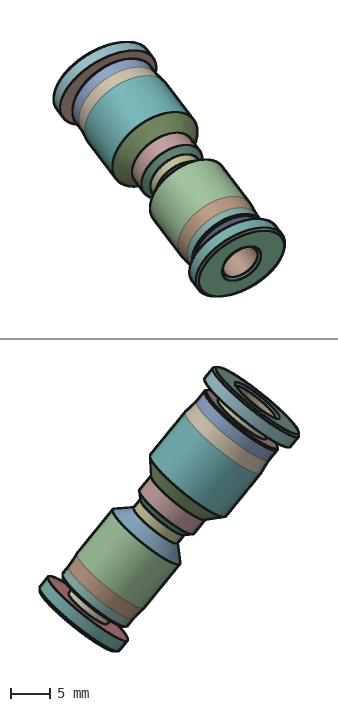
import cadquery as cq

TOTAL_LENGTH = 36.6

LARGE_FLANGE_WIDTH = 14.0
LARGE_FLANGE_HEIGHT = 11.9
LARGE_NECK_DIAMETER = 7.9
LARGE_BORE_DIAMETER = 6.55
SMALL_FLANGE_WIDTH = 13.0
SMALL_FLANGE_HEIGHT = 11.0
SMALL_NECK_DIAMETER = 6.3
SMALL_BORE_DIAMETER = 5.0
FLANGE_THICKNESS = 2.0
FLANGE_CHAMFER = 0.3
BORE_CHAMFER = 0.33
COLLAR_LENGTH = 10.98

LARGE_NOSE_DIAMETER = 11.9
LARGE_BODY_DIAMETER = 12.4
LARGE_WAIST_DIAMETER = 8.9
SMALL_WAIST_DIAMETER = 7.2
SMALL_BODY_DIAMETER = 11.0
SMALL_NOSE_DIAMETER = 10.6
NOSE_CHAMFER = 0.2

LARGE_END = 3.1
LARGE_TAPER_START = 4.98
LARGE_BODY_START = 6.95
LARGE_BODY_END = 14.13
LARGE_WAIST_START = 16.1
LARGE_WAIST_END = 18.52
SMALL_WAIST_START = LARGE_WAIST_END + (LARGE_WAIST_DIAMETER - SMALL_WAIST_DIAMETER) / 2
SMALL_WAIST_END = 20.75
SMALL_BODY_START = 22.62
SMALL_BODY_END = 29.9
SMALL_TAPER_END = 31.88
SMALL_END = 33.3


def x_cylinder(diameter, start, end):
    """Solid cylinder on the X axis between two stations."""
    return cq.Workplane("YZ", origin=(start, 0, 0)).circle(diameter / 2).extrude(end - start)


def make_housing():
    """Turned outer shape with a blind socket for the collar neck in each end."""
    profile = [
        (LARGE_END, 0),
        (LARGE_END, LARGE_NOSE_DIAMETER / 2 - NOSE_CHAMFER),
        (LARGE_END + NOSE_CHAMFER, LARGE_NOSE_DIAMETER / 2),
        (LARGE_TAPER_START, LARGE_NOSE_DIAMETER / 2),
        (LARGE_BODY_START, LARGE_BODY_DIAMETER / 2),
        (LARGE_BODY_END, LARGE_BODY_DIAMETER / 2),
        (LARGE_WAIST_START, LARGE_WAIST_DIAMETER / 2),
        (LARGE_WAIST_END, LARGE_WAIST_DIAMETER / 2),
        (SMALL_WAIST_START, SMALL_WAIST_DIAMETER / 2),
        (SMALL_WAIST_END, SMALL_WAIST_DIAMETER / 2),
        (SMALL_BODY_START, SMALL_BODY_DIAMETER / 2),
        (SMALL_BODY_END, SMALL_BODY_DIAMETER / 2),
        (SMALL_TAPER_END, SMALL_NOSE_DIAMETER / 2),
        (SMALL_END - NOSE_CHAMFER, SMALL_NOSE_DIAMETER / 2),
        (SMALL_END, SMALL_NOSE_DIAMETER / 2 - NOSE_CHAMFER),
        (SMALL_END, 0),
    ]
    body = cq.Workplane("XY").polyline(profile).close().revolve(360, (0, 0, 0), (1, 0, 0))
    large_socket = x_cylinder(LARGE_NECK_DIAMETER, LARGE_END, COLLAR_LENGTH)
    small_socket = x_cylinder(SMALL_NECK_DIAMETER, TOTAL_LENGTH - COLLAR_LENGTH, SMALL_END)
    return body.cut(large_socket).cut(small_socket)


def make_collar(flange_width, flange_height, neck_diameter, bore_diameter):
    """Release collar with its flange face at X = 0 and its neck pointing to +X."""
    flange = (
        cq.Workplane("YZ")
        .ellipse(flange_width / 2, flange_height / 2)
        .extrude(FLANGE_THICKNESS)
        .faces("<X")
        .chamfer(FLANGE_CHAMFER)
    )
    neck = x_cylinder(neck_diameter, FLANGE_THICKNESS, COLLAR_LENGTH)
    bore = x_cylinder(bore_diameter, 0, COLLAR_LENGTH)
    mouth_radius = bore_diameter / 2 + BORE_CHAMFER
    mouth = (
        cq.Workplane("XY")
        .polyline([(0, 0), (0, mouth_radius), (mouth_radius, 0)])
        .close()
        .revolve(360, (0, 0, 0), (1, 0, 0))
    )
    return flange.union(neck).cut(bore).cut(mouth)


housing = make_housing()
large_collar = make_collar(
    LARGE_FLANGE_WIDTH, LARGE_FLANGE_HEIGHT, LARGE_NECK_DIAMETER, LARGE_BORE_DIAMETER
)
small_collar = (
    make_collar(SMALL_FLANGE_WIDTH, SMALL_FLANGE_HEIGHT, SMALL_NECK_DIAMETER, SMALL_BORE_DIAMETER)
    .rotate((0, 0, 0), (0, 0, 1), 180)
    .translate((TOTAL_LENGTH, 0, 0))
)

result = cq.Compound.makeCompound([housing.val(), large_collar.val(), small_collar.val()])